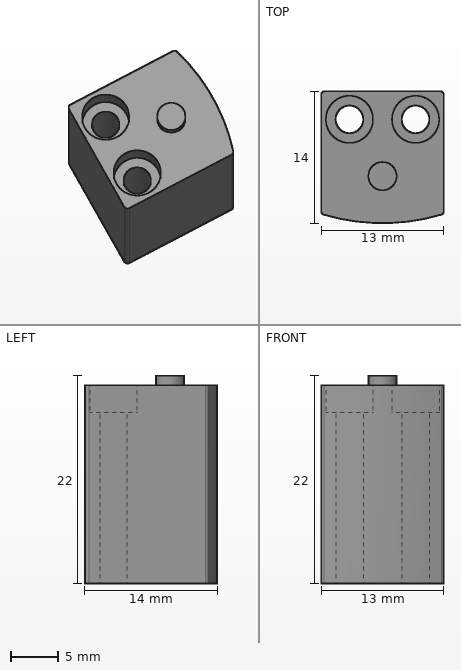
import cadquery as cq

total_height = 22.0
pin_height = 1.0
housing_height = total_height - pin_height
width = 13.0
depth = 14.0
front_bulge = 1.0
corner_radius = 0.4

screw_hole_diameter = 2.9
counterbore_diameter = 5.0
counterbore_depth = 2.9
screw_hole_spacing = 7.0
screw_hole_from_back = 3.0

pin_diameter = 3.0
pin_from_back = 9.0

half_width = width / 2
front_crest_y = -depth
front_corner_y = front_crest_y + front_bulge


def make_housing():
    """Block with a bowed front, rounded upright edges and two counterbored holes."""
    block = (
        cq.Workplane("XY")
        .moveTo(-half_width, 0)
        .lineTo(-half_width, front_corner_y)
        .threePointArc((0, front_crest_y), (half_width, front_corner_y))
        .lineTo(half_width, 0)
        .close()
        .extrude(housing_height)
        .edges("|Z")
        .fillet(corner_radius)
    )
    hole_centers = [(side * screw_hole_spacing / 2, -screw_hole_from_back) for side in (-1, 1)]
    return (
        block.faces(">Z")
        .workplane(origin=(0, 0, housing_height))
        .pushPoints(hole_centers)
        .cboreHole(screw_hole_diameter, counterbore_diameter, counterbore_depth)
    )


def make_pin():
    """Short round pin standing on the top face of the housing."""
    return (
        cq.Workplane("XY", origin=(0, -pin_from_back, housing_height))
        .circle(pin_diameter / 2)
        .extrude(pin_height)
    )


housing = make_housing()
pin = make_pin()

result = cq.Compound.makeCompound([housing.val(), pin.val()])